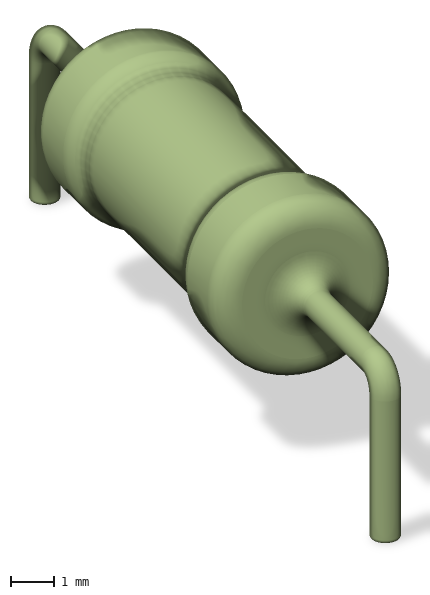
import cadquery as cq
import math

overall_length = 21.07
body_length = 11.05
cap_diameter = 4.5
barrel_diameter = 3.9

rim_fillet = 0.61
band_width = 1.2
step_length = 0.82
crown_length = 0.38

wire_diameter = 0.74
bend_radius = 0.61
flare_radius = 0.7
lead_drop = 4.25
tip_fillet = 0.1

wire_radius = wire_diameter / 2
cap_radius = cap_diameter / 2
barrel_radius = barrel_diameter / 2
face_x = body_length / 2
lead_x = overall_length / 2 - wire_radius
band_outer_x = face_x - rim_fillet
band_inner_x = band_outer_x - band_width
barrel_x = band_inner_x - step_length
flare_x = face_x + flare_radius

step_angle = 2 * math.atan((cap_radius - barrel_radius) / step_length)
crown_radius = crown_length / math.sin(step_angle)
valley_radius = (step_length - crown_length) / math.sin(step_angle)


def on_circle(center_x, center_r, radius, degrees):
    """Point (x, r) on a circle in the revolve profile."""
    angle = math.radians(degrees)
    return center_x + radius * math.cos(angle), center_r + radius * math.sin(angle)


def cap():
    """Right end cap with its step and wire flare, revolved about the X axis."""
    step_degrees = math.degrees(step_angle)
    crown = (band_inner_x, cap_radius - crown_radius, crown_radius)
    valley = (barrel_x, barrel_radius + valley_radius, valley_radius)
    rim = (band_outer_x, cap_radius - rim_fillet, rim_fillet)
    flare = (flare_x, wire_radius + flare_radius, flare_radius)
    profile = (
        cq.Workplane("XY")
        .moveTo(barrel_x, 0)
        .lineTo(barrel_x, barrel_radius)
        .threePointArc(on_circle(*valley, -90 + step_degrees / 2), on_circle(*valley, -90 + step_degrees))
        .threePointArc(on_circle(*crown, 90 + step_degrees / 2), (band_inner_x, cap_radius))
        .lineTo(band_outer_x, cap_radius)
        .threePointArc(on_circle(*rim, 45), (face_x, cap_radius - rim_fillet))
        .lineTo(face_x, wire_radius + flare_radius)
        .threePointArc(on_circle(*flare, 225), (flare_x, wire_radius))
        .lineTo(flare_x, 0)
        .close()
    )
    return profile.revolve(360, (0, 0, 0), (1, 0, 0))


def lead():
    """Right wire: straight out of the flare, bent down, with a rounded tip."""
    bend_x = lead_x - bend_radius
    bend_middle = on_circle(bend_x, -bend_radius, bend_radius, 45)
    path = (
        cq.Workplane("XZ")
        .moveTo(flare_x, 0)
        .lineTo(bend_x, 0)
        .threePointArc(bend_middle, (lead_x, -bend_radius))
        .lineTo(lead_x, -lead_drop)
    )
    wire = cq.Workplane("YZ", origin=(flare_x, 0, 0)).circle(wire_radius).sweep(path)
    return wire.faces("<Z").edges().fillet(tip_fillet)


barrel = cq.Workplane("YZ", origin=(-barrel_x, 0, 0)).circle(barrel_radius).extrude(2 * barrel_x)
right_end = cap().union(lead())
result = barrel.union(right_end).union(right_end.mirror("YZ"))